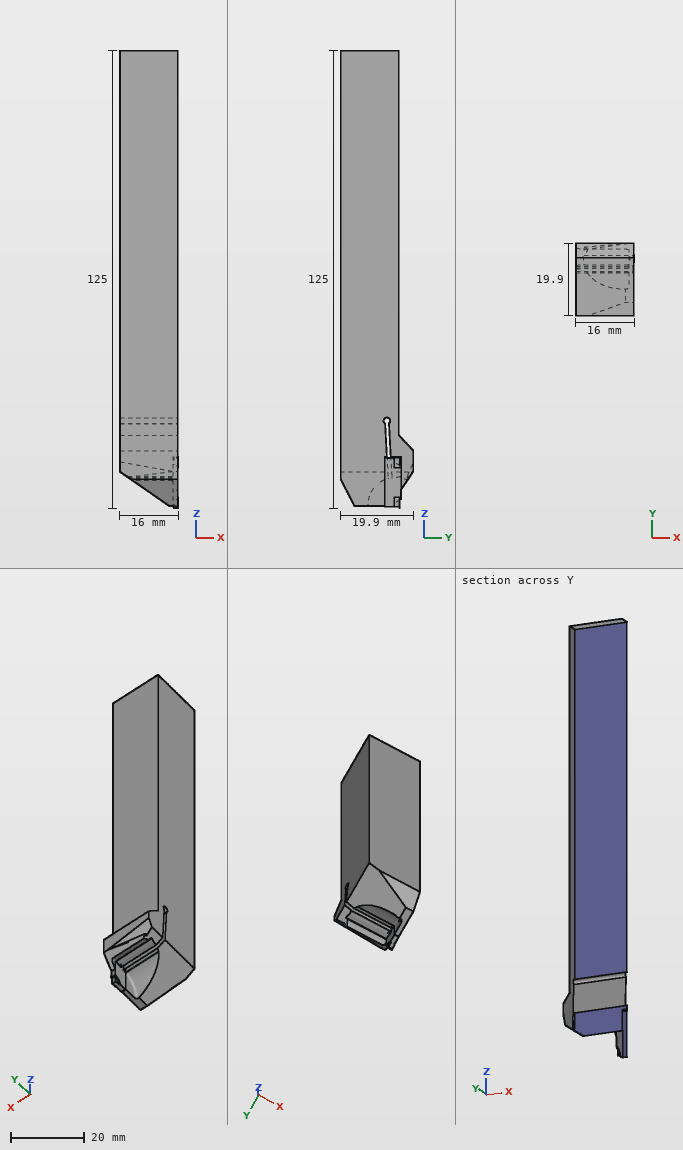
import cadquery as cq
import math

TOTAL_LENGTH = 125.0
SHANK_SIZE = 15.9
HEAD_DEPTH = 19.9
HOLDER_BOTTOM = 0.6
SHOULDER_TOP = 20.0
SHOULDER_BOTTOM = 15.8
HEAD_CORNER = 10.1
BLADE_REAR_Y = 13.5
FRONT_RELIEF_TOP = 7.9
FRONT_RELIEF_DEPTH = 3.8

SIDE_RELIEF_TOP = 10.0
SIDE_RELIEF_WIDTH = 13.5

BLADE_FACE_X = 14.5
RELIEF_CENTER = (14.9, 1.0)
RELIEF_RADIUS = 7.5
RELIEF_FILLET = 0.8

JAW_RELIEF_TOP = 12.8
JAW_RELIEF_Y = 17.8
JAW_RELIEF_BOTTOM = 8.2

SLOT_WIDTH = 1.0
SLOT_HOLE_CENTER = (12.6, 23.9)
SLOT_HOLE_RADIUS = 0.9
SLOT_TILT = math.radians(3)

INSERT_LENGTH = 14.1
INSERT_FRONT = 12.0
INSERT_REAR = 16.5
END_RELIEF = 0.4
TIP_Y = 16.1
TIP_HEIGHT = 2.5
TIP_LEAD = 0.2
CHIP_GROOVE_RADIUS = 1.8
CHIP_GROOVE_DEPTH = 0.2
CUTTING_HEAD_FRONT = 14.6
CUTTING_HEAD_HEIGHT = 3.0
HEAD_PROJECTION = 0.1

SLOT_BOTTOM = 8.0
WINDOW_TOP = 8.8


def side_profile(points, start_x, end_x):
    """Extrude a Y-Z outline between two X positions."""
    return cq.Workplane("YZ", origin=(start_x, 0, 0)).polyline(points).close().extrude(end_x - start_x)


def slot_strip(bottom, top):
    """Tilted strip on the clamping slot's centre line."""
    hole_y, hole_z = SLOT_HOLE_CENTER
    bottom_y = hole_y + (hole_z - bottom) * math.tan(SLOT_TILT)
    top_y = hole_y + (hole_z - top) * math.tan(SLOT_TILT)
    half = SLOT_WIDTH / 2
    points = [
        (bottom_y - half, bottom),
        (bottom_y + half, bottom),
        (top_y + half, top),
        (top_y - half, top),
    ]
    return side_profile(points, 0, SHANK_SIZE)


def insert_box(front, bottom, top, end_x):
    """Rectangular stretch of the insert, reaching back to its rear edge."""
    points = [(front, bottom), (INSERT_REAR, bottom), (INSERT_REAR, top), (front, top)]
    return side_profile(points, BLADE_FACE_X, end_x)


def cutting_end():
    """Lower half of the insert, with its tip, chip groove and wider head."""
    head_x = SHANK_SIZE + HEAD_PROJECTION
    middle = INSERT_LENGTH / 2
    outline = [
        (INSERT_FRONT, END_RELIEF),
        (TIP_Y - TIP_LEAD, END_RELIEF),
        (TIP_Y, 0),
        (TIP_Y, TIP_HEIGHT),
        (INSERT_REAR, TIP_HEIGHT),
        (INSERT_REAR, middle),
        (INSERT_FRONT, middle),
    ]
    head_region = insert_box(CUTTING_HEAD_FRONT, 0, CUTTING_HEAD_HEIGHT, head_x)
    head = side_profile(outline, BLADE_FACE_X, head_x).intersect(head_region)
    groove = (
        cq.Workplane("YZ", origin=(BLADE_FACE_X, TIP_Y, END_RELIEF))
        .circle(CHIP_GROOVE_RADIUS)
        .extrude(CHIP_GROOVE_DEPTH)
    )
    return side_profile(outline, BLADE_FACE_X, SHANK_SIZE).union(head).cut(groove)


def make_insert():
    lower = cutting_end()
    upper = lower.mirror("XY", (0, 0, INSERT_LENGTH / 2))
    return lower.union(upper)


def holder_blank():
    outline = [
        (FRONT_RELIEF_DEPTH, HOLDER_BOTTOM),
        (BLADE_REAR_Y, HOLDER_BOTTOM),
        (HEAD_DEPTH, HEAD_CORNER),
        (HEAD_DEPTH, SHOULDER_BOTTOM),
        (SHANK_SIZE, SHOULDER_TOP),
        (SHANK_SIZE, TOTAL_LENGTH),
        (0, TOTAL_LENGTH),
        (0, FRONT_RELIEF_TOP),
    ]
    return side_profile(outline, 0, SHANK_SIZE)


def side_relief():
    outline = [(0, SIDE_RELIEF_TOP), (SIDE_RELIEF_WIDTH, HOLDER_BOTTOM), (0, HOLDER_BOTTOM)]
    return cq.Workplane("XZ").polyline(outline).close().extrude(-HEAD_DEPTH)


def blade_relief():
    return (
        cq.Workplane("YZ")
        .center(*RELIEF_CENTER)
        .circle(RELIEF_RADIUS)
        .extrude(BLADE_FACE_X)
        .faces(">X")
        .edges()
        .fillet(RELIEF_FILLET)
    )


def jaw_relief():
    """Wedge that fades out along X, from the rear edge to the blade face."""
    corner = cq.Vector(0, HEAD_DEPTH, JAW_RELIEF_TOP)
    inner = cq.Vector(0, JAW_RELIEF_Y, JAW_RELIEF_BOTTOM)
    outer = cq.Vector(0, HEAD_DEPTH, JAW_RELIEF_BOTTOM)
    apex = cq.Vector(BLADE_FACE_X, HEAD_DEPTH, HEAD_CORNER)
    triangles = [
        (corner, inner, outer),
        (corner, inner, apex),
        (inner, outer, apex),
        (outer, corner, apex),
    ]
    faces = [cq.Face.makeFromWires(cq.Wire.makePolygon(list(t), close=True)) for t in triangles]
    return cq.Workplane(cq.Solid.makeSolid(cq.Shell.makeShell(faces)))


def clamping_slot():
    hole = (
        cq.Workplane("YZ")
        .center(*SLOT_HOLE_CENTER)
        .circle(SLOT_HOLE_RADIUS)
        .extrude(SHANK_SIZE)
    )
    return slot_strip(SLOT_BOTTOM, SLOT_HOLE_CENTER[1]).union(hole)


def insert_seat():
    """Straight seat for the insert, open downwards and on the +X face."""
    return insert_box(INSERT_FRONT, 0, INSERT_LENGTH, SHANK_SIZE)


def insert_window():
    """Opening through the jaw that clears the relief fillet from beside the insert."""
    outline = [
        (INSERT_FRONT, 0),
        (INSERT_REAR, 0),
        (INSERT_REAR, WINDOW_TOP),
        (INSERT_FRONT, SLOT_BOTTOM),
    ]
    return side_profile(outline, 0, BLADE_FACE_X)


def make_holder():
    holder = holder_blank()
    cutters = [
        side_relief(),
        blade_relief(),
        jaw_relief(),
        clamping_slot(),
        insert_seat(),
        insert_window(),
    ]
    for cutter in cutters:
        holder = holder.cut(cutter)
    return holder


holder = make_holder()
insert = make_insert()
result = cq.Compound.makeCompound([*holder.solids().vals(), *insert.solids().vals()])